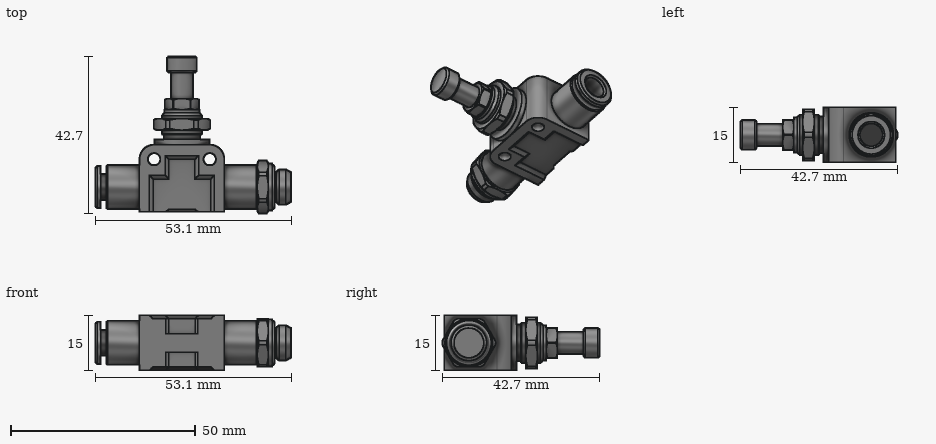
import cadquery as cq
import math


BODY_WIDTH = 23.05
BODY_HEIGHT = 15.0
BODY_BACK_Y = 11.5
BODY_FRONT_Y = -6.7
BODY_CORNER_RADIUS = 4.0
MOUNT_HOLE_DIAMETER = 3.3

RECESS_DEPTH = 1.0
RECESS_WIDE_HALF = 8.8
RECESS_WIDE_Y = 3.2
RECESS_NARROW_HALF = 4.5
RECESS_NARROW_Y = 8.5

NOTCH_OUTER_HALF = 4.35
NOTCH_INNER_HALF = 3.55
NOTCH_DEPTH = 0.65
NOTCH_LEDGE_Z = 2.5

SLEEVE_RADIUS = 6.0
SLEEVE_END = 20.45
SLEEVE_CHAMFER = 0.3

COLLAR_FACE_X = -23.5
COLLAR_BACK_X = -22.05
COLLAR_RADIUS = 5.75
COLLAR_CHAMFER = 0.55
COLLAR_NECK_RADIUS = 3.55
BORE_RADIUS = 3.1
BORE_MOUTH_RADIUS = 3.6
BORE_MOUTH_DEPTH = 0.55
BORE_DEPTH = 15.95

PORT_NUT_LENGTH = 3.0
PORT_NUT_FLATS = 13.0
PORT_NUT_CORNERS = 14.45

RING_RADIUS = 6.4
RING_END_X = 24.4
ROUNDED_RING_RADIUS = 6.05
ROUNDED_RING_END_X = 25.15
TIP_NECK_RADIUS = 4.15
TIP_NECK_END_X = 25.55
TIP_RADIUS = 4.85
TIP_CYLINDER_START_X = 26.35
TIP_CYLINDER_END_X = 28.15
TIP_END_X = 29.6
TIP_END_RADIUS = 4.05

FLANGE_RADIUS = BODY_HEIGHT / 2
FLANGE_END_Y = 12.95
UNDERCUT_RADIUS = 5.0
UNDERCUT_END_Y = 14.1
THREAD_RADIUS = 5.45
THREAD_CHAMFER = 0.25
THREAD_END_Y = 19.35
SHOULDER_RADIUS = 4.85
SHOULDER_START_Y = 20.1
SHOULDER_END_Y = 21.0
ROD_RADIUS = 3.05
KNOB_START_Y = 31.0
KNOB_END_Y = 35.5
KNOB_RADIUS = 4.1
KNOB_CHAMFER = 0.55

PANEL_NUT_START_Y = 15.45
PANEL_NUT_LENGTH = 3.15
PANEL_NUT_FLATS = 13.95
PANEL_NUT_CORNERS = 15.4

LOCK_NUT_LENGTH = 3.05
LOCK_NUT_FLATS = 8.25
LOCK_NUT_CORNERS = 9.35

NUT_SIDES = 6
NUT_CHAMFER_ANGLE = 30.0


def turned_x(profile):
    """Solid of revolution about X from (x, radius) points, closed down to the axis."""
    points = [(profile[0][0], 0), *profile, (profile[-1][0], 0)]
    return cq.Workplane("XY").polyline(points).close().revolve(360, (0, 0, 0), (1, 0, 0))


def turned_y(profile):
    """Solid of revolution about Y from (y, radius) points, closed down to the axis."""
    points = [(0, profile[0][0])]
    points += [(radius, y) for y, radius in profile]
    points += [(0, profile[-1][0])]
    return cq.Workplane("XY").polyline(points).close().revolve(360, (0, 0, 0), (0, 1, 0))


def barrel_profile(start, length, flats, corners):
    """Profile that trims the corners of a hexagon and chamfers both of its ends."""
    outer = corners / 2
    inner = flats / 2
    run = (outer - inner) * math.tan(math.radians(NUT_CHAMFER_ANGLE))
    end = start + length
    return [(start, inner), (start + run, outer), (end - run, outer), (end, inner)]


def sharp_nut_diameter(flats):
    """Size across the corners of a nut before they are trimmed."""
    return flats / math.cos(math.pi / NUT_SIDES)


def port_nut():
    """Hexagon on the port axis with corners on +Y and -Y."""
    hexagon = (
        cq.Workplane("YZ", origin=(SLEEVE_END, 0, 0))
        .polygon(NUT_SIDES, sharp_nut_diameter(PORT_NUT_FLATS))
        .extrude(PORT_NUT_LENGTH)
    )
    barrel = barrel_profile(SLEEVE_END, PORT_NUT_LENGTH, PORT_NUT_FLATS, PORT_NUT_CORNERS)
    return hexagon.intersect(turned_x(barrel))


def stem_nut(start_y, length, flats, corners):
    """Hexagon on the stem axis with corners on +X and -X."""
    hexagon = (
        cq.Workplane("XZ", origin=(0, start_y, 0))
        .polygon(NUT_SIDES, sharp_nut_diameter(flats))
        .extrude(-length)
    )
    return hexagon.intersect(turned_y(barrel_profile(start_y, length, flats, corners)))


def recess_outline(z, inset):
    """Closed T outline at height z, drawn in from the rim and run out through the front face."""
    wide = RECESS_WIDE_HALF - inset
    narrow = RECESS_NARROW_HALF - inset
    wide_y = RECESS_WIDE_Y - inset
    narrow_y = RECESS_NARROW_Y - inset
    right_side = [(wide, BODY_FRONT_Y), (wide, wide_y), (narrow, wide_y), (narrow, narrow_y)]
    left_side = [(-x, y) for x, y in reversed(right_side)]
    return cq.Workplane("XY", origin=(0, 0, z)).polyline(right_side + left_side).close().wire().val()


def top_recess():
    top_z = BODY_HEIGHT / 2
    rim = recess_outline(top_z, 0)
    floor = recess_outline(top_z - RECESS_DEPTH, RECESS_DEPTH)
    return cq.Workplane(cq.Solid.makeLoft([floor, rim], True))


def top_notch():
    outline = [
        (-NOTCH_OUTER_HALF, BODY_FRONT_Y),
        (-NOTCH_INNER_HALF, BODY_FRONT_Y + NOTCH_DEPTH),
        (NOTCH_INNER_HALF, BODY_FRONT_Y + NOTCH_DEPTH),
        (NOTCH_OUTER_HALF, BODY_FRONT_Y),
    ]
    return (
        cq.Workplane("XY", origin=(0, 0, NOTCH_LEDGE_Z))
        .polyline(outline)
        .close()
        .extrude(BODY_HEIGHT / 2 - NOTCH_LEDGE_Z)
    )


def body():
    hole_x = BODY_WIDTH / 2 - BODY_CORNER_RADIUS
    hole_y = BODY_BACK_Y - BODY_CORNER_RADIUS
    block = (
        cq.Workplane("XY")
        .box(BODY_WIDTH, BODY_BACK_Y - BODY_FRONT_Y, BODY_HEIGHT)
        .translate((0, (BODY_BACK_Y + BODY_FRONT_Y) / 2, 0))
        .edges("|Z and >Y")
        .fillet(BODY_CORNER_RADIUS)
    )
    holes = (
        cq.Workplane("XY")
        .pushPoints([(-hole_x, hole_y), (hole_x, hole_y)])
        .circle(MOUNT_HOLE_DIAMETER / 2)
        .extrude(BODY_HEIGHT / 2, both=True)
    )
    block = block.cut(holes)
    for cutter in (top_recess(), top_notch()):
        block = block.cut(cutter).cut(cutter.mirror("XY"))
    return block


def ports():
    """Push-in collar at -X, two equal sleeves, and a plain ring and tapered tip at +X."""
    ring_start = SLEEVE_END + PORT_NUT_LENGTH
    profile = [
        (COLLAR_FACE_X, COLLAR_RADIUS - COLLAR_CHAMFER),
        (COLLAR_FACE_X + COLLAR_CHAMFER, COLLAR_RADIUS),
        (COLLAR_BACK_X, COLLAR_RADIUS),
        (COLLAR_BACK_X, COLLAR_NECK_RADIUS),
        (-SLEEVE_END, COLLAR_NECK_RADIUS),
        (-SLEEVE_END, SLEEVE_RADIUS - SLEEVE_CHAMFER),
        (-SLEEVE_END + SLEEVE_CHAMFER, SLEEVE_RADIUS),
        (SLEEVE_END - SLEEVE_CHAMFER, SLEEVE_RADIUS),
        (SLEEVE_END, SLEEVE_RADIUS - SLEEVE_CHAMFER),
        (ring_start, SLEEVE_RADIUS - SLEEVE_CHAMFER),
        (ring_start, RING_RADIUS),
        (RING_END_X, RING_RADIUS),
        (RING_END_X, TIP_NECK_RADIUS),
        (TIP_NECK_END_X, TIP_NECK_RADIUS),
        (TIP_CYLINDER_START_X, TIP_RADIUS),
        (TIP_CYLINDER_END_X, TIP_RADIUS),
        (TIP_END_X, TIP_END_RADIUS),
    ]
    return turned_x(profile)


def rounded_ring():
    """Disc rooted inside the plain ring; only its rounded outer edge stands proud of it."""
    root_x = SLEEVE_END + PORT_NUT_LENGTH
    return (
        cq.Workplane("YZ", origin=(root_x, 0, 0))
        .circle(ROUNDED_RING_RADIUS)
        .extrude(ROUNDED_RING_END_X - root_x)
        .faces(">X")
        .edges()
        .fillet(ROUNDED_RING_END_X - RING_END_X)
    )


def tube_bore():
    """Blind tube socket with a tapered mouth."""
    profile = [
        (COLLAR_FACE_X, BORE_MOUTH_RADIUS),
        (COLLAR_FACE_X + BORE_MOUTH_DEPTH, BORE_RADIUS),
        (COLLAR_FACE_X + BORE_DEPTH, BORE_RADIUS),
    ]
    return turned_x(profile)


def stem():
    """Flange, undercut, threaded bush, shoulder, rod and knob."""
    profile = [
        (BODY_BACK_Y, FLANGE_RADIUS),
        (FLANGE_END_Y, FLANGE_RADIUS),
        (FLANGE_END_Y, UNDERCUT_RADIUS),
        (UNDERCUT_END_Y, UNDERCUT_RADIUS),
        (UNDERCUT_END_Y, THREAD_RADIUS - THREAD_CHAMFER),
        (UNDERCUT_END_Y + THREAD_CHAMFER, THREAD_RADIUS),
        (THREAD_END_Y, THREAD_RADIUS),
        (SHOULDER_START_Y, SHOULDER_RADIUS),
        (SHOULDER_END_Y, SHOULDER_RADIUS),
        (SHOULDER_END_Y, ROD_RADIUS),
        (KNOB_START_Y, ROD_RADIUS),
        (KNOB_START_Y, KNOB_RADIUS - KNOB_CHAMFER),
        (KNOB_START_Y + KNOB_CHAMFER, KNOB_RADIUS),
        (KNOB_END_Y - KNOB_CHAMFER, KNOB_RADIUS),
        (KNOB_END_Y, KNOB_RADIUS - KNOB_CHAMFER),
    ]
    return turned_y(profile)


result = (
    body()
    .union(ports())
    .union(rounded_ring())
    .union(port_nut())
    .union(stem())
    .union(stem_nut(PANEL_NUT_START_Y, PANEL_NUT_LENGTH, PANEL_NUT_FLATS, PANEL_NUT_CORNERS))
    .union(stem_nut(SHOULDER_END_Y, LOCK_NUT_LENGTH, LOCK_NUT_FLATS, LOCK_NUT_CORNERS))
    .cut(tube_bore())
)